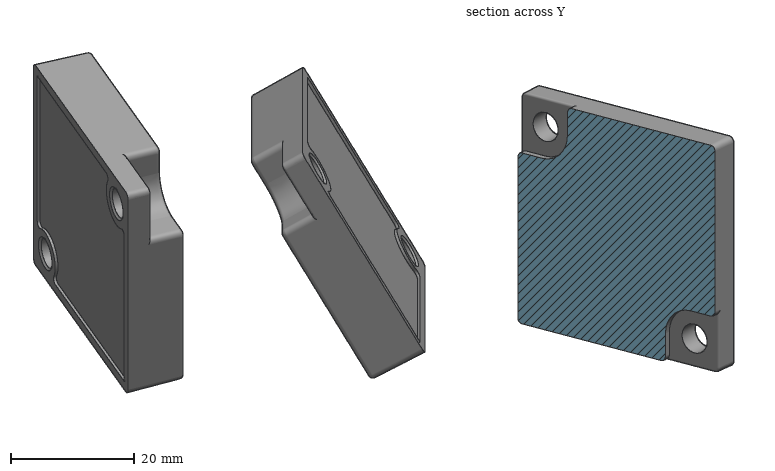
import cadquery as cq
import math

side = 40.0
thickness = 10.0
draft_angle = 1.0
corner_radius = 1.0
back_rim_radius = 0.75

hole_edge_distance = 5.0
hole_offset = side / 2 - hole_edge_distance
hole_diameter = 5.0
hole_chamfer = 0.35

ledge_thickness = 4.0
notch_radius = 5.0
notch_wall = hole_offset - notch_radius
notch_edge_radius = 1.0
ledge_edge_radius = 0.4

frame_width = 1.65
recess_depth = 0.5
collar_radius = 4.2
recess_tip_radius = 0.8

HOLE_CORNERS = (1, -1)


def front_sketch():
    """Sketch plane on the front face; negative extrusions go into the part."""
    return cq.Workplane("XZ")


def fillet_nearest(body, point, radius):
    """Round the edge whose centre lies nearest to the point."""
    return body.edges(cq.selectors.NearestToPointSelector(point)).fillet(radius)


def make_block():
    """Square block with rounded corners that narrows toward the back."""
    outline = front_sketch().sketch().rect(side, side).vertices().fillet(corner_radius).finalize()
    return outline.extrude(-thickness, taper=draft_angle)


def notch_cutter(sign):
    """Corner notch concentric with the hole, widening toward the back."""
    outer = side / 2 + notch_radius
    outline = (
        front_sketch()
        .moveTo(sign * outer, sign * notch_wall)
        .lineTo(sign * hole_offset, sign * notch_wall)
        .radiusArc((sign * notch_wall, sign * hole_offset), notch_radius)
        .lineTo(sign * notch_wall, sign * outer)
        .lineTo(sign * outer, sign * outer)
        .close()
    )
    return outline.extrude(-thickness, taper=-draft_angle)


def hole_cutter(sign):
    """Through hole with a chamfered mouth on the front face."""
    centre = front_sketch().center(sign * hole_offset, sign * hole_offset)
    hole = centre.circle(hole_diameter / 2).extrude(-thickness)
    mouth = cq.Solid.makeCone(
        hole_diameter / 2 + hole_chamfer,
        hole_diameter / 2,
        hole_chamfer,
        pnt=cq.Vector(sign * hole_offset, 0, sign * hole_offset),
        dir=cq.Vector(0, 1, 0),
    )
    return hole.union(cq.Workplane(mouth))


def recess_cutter():
    """Shallow square recess that bends around a collar at each hole."""
    recess_side = side - 2 * frame_width
    recess = front_sketch().rect(recess_side, recess_side).extrude(-recess_depth)
    for sign in HOLE_CORNERS:
        centre = front_sketch().center(sign * hole_offset, sign * hole_offset)
        recess = recess.cut(centre.circle(collar_radius).extrude(-recess_depth))
        corner = front_sketch().center(sign * recess_side / 2, sign * recess_side / 2)
        corner_size = 2 * (recess_side / 2 - hole_offset)
        recess = recess.cut(corner.rect(corner_size, corner_size).extrude(-recess_depth))
    collar_reach = math.sqrt(collar_radius**2 - (recess_side / 2 - hole_offset) ** 2)
    tip = hole_offset - collar_reach
    tips = [
        (sign * x, recess_depth / 2, sign * z)
        for sign in HOLE_CORNERS
        for x, z in ((tip, recess_side / 2), (recess_side / 2, tip))
    ]
    for point in tips:
        recess = fillet_nearest(recess, point, recess_tip_radius)
    return recess


def make_tower(block):
    """Full-depth block with both corners notched, then rounded along the notches and the back rim."""
    tower = block
    for sign in HOLE_CORNERS:
        tower = tower.cut(notch_cutter(sign))
    for sign in HOLE_CORNERS:
        for x, z in ((notch_wall, side / 2), (side / 2, notch_wall)):
            tower = fillet_nearest(tower, (sign * x, thickness / 2, sign * z), notch_edge_radius)
    return tower.faces(">Y").edges().fillet(back_rim_radius)


def make_ledge_plate(block):
    """Front layer of the block, rounded where its rim stays exposed beside the notches."""
    plate_slab = front_sketch().rect(side, side).extrude(-ledge_thickness)
    return block.intersect(plate_slab).faces(">Y").edges().fillet(ledge_edge_radius)


full_block = make_block()
result = make_ledge_plate(full_block).union(make_tower(full_block)).cut(recess_cutter())
for corner_sign in HOLE_CORNERS:
    result = result.cut(hole_cutter(corner_sign))